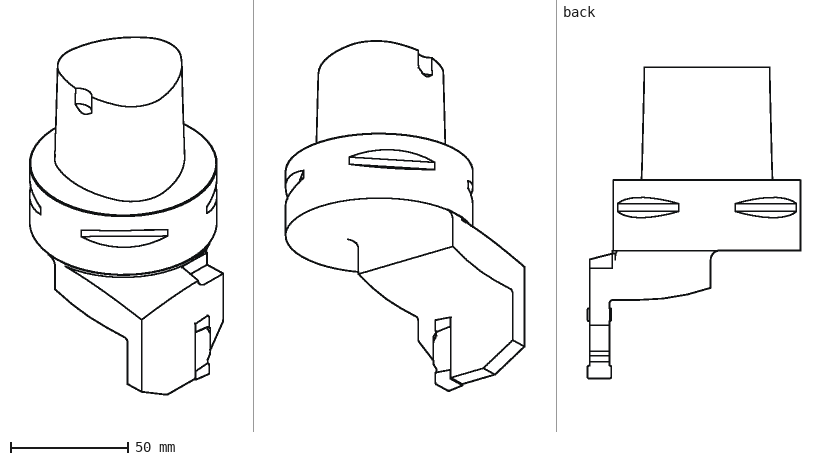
import cadquery as cq
import math


shank_height = 48.0
shank_corner_reach = 29.6
shank_side_reach = 25.7
shank_corner_radius = 17.3
shank_taper = math.degrees(math.atan(1 / 40))

notch_radius = 6.0
notch_axis_y = -27.8
notch_depth = 8.0
notch_tip_length = 5.0

flange_diameter = 80.0
flange_radius = flange_diameter / 2
flange_height = 30.3
flange_chamfer = 0.4

groove_count = 4
groove_z = -12.0
groove_floor_distance = 35.5
groove_floor_height = 3.3
groove_mouth_height = 8.6

arm_left = -1.6
arm_right = 50.1
arm_front = -40.1
arm_back = 9.8
arm_left_bottom = -46.3
arm_bottom = -51.5
belly_end_x = 29.2
neck_radius = 40.4
neck_bottom = -31.5
cone_slope = 0.255
root_radius = 4.0

step_front = -5.6
step_radius = 4.1
step_floor = -37.9

blade_left = 41.6
blade_bottom = -83.8
blade_root_radius = 1.6
blade_front_bevel_y = -24.6
blade_front_bevel_z = -74.7
blade_back_bevel_z = -62.2
blade_bevel_end_y = 2.0
blade_bevel_end_z = -73.2

insert_bottom = shank_height - 133
insert_top = -54.9
insert_mid_z = (insert_top + insert_bottom) / 2
insert_left = 40.8
insert_right = 51.0
insert_seat_y = -7.3
insert_rake_y = 0.3
insert_core_y = 1.9
head_height = 5.6
head_corner_radius = 0.8
head_clearance = 5.0
core_half_length = 5.2
core_shoulder_half_length = 7.8
core_end_half_length = 12.6
seat_shoulder_z = -60.5
seat_bevel_z = -62.2

overshoot = 6.6


def polar(radius, degrees):
    angle = math.radians(degrees)
    return (radius * math.cos(angle), radius * math.sin(angle))


def make_shank():
    """Three corner arcs and three flatter side arcs, all tangent, tapering upward."""
    corner_centre = shank_corner_reach - shank_corner_radius
    reach_gap = shank_side_reach - shank_corner_radius
    side_centre = (corner_centre**2 - reach_gap**2) / (2 * reach_gap - corner_centre)
    side_radius = side_centre + shank_side_reach
    joint_sine = corner_centre * math.sin(math.radians(60)) / (side_radius - shank_corner_radius)
    joint_across = side_radius * joint_sine
    joint_out = side_radius * math.sqrt(1 - joint_sine**2) - side_centre
    joint_reach = math.hypot(joint_across, joint_out)
    joint_angle = math.degrees(math.atan2(joint_across, joint_out))

    outline = cq.Workplane("XY").moveTo(*polar(joint_reach, -90 - joint_angle))
    for side_angle in (-90, 30, 150):
        outline = outline.threePointArc(
            polar(shank_side_reach, side_angle), polar(joint_reach, side_angle + joint_angle)
        ).threePointArc(
            polar(shank_corner_reach, side_angle + 60), polar(joint_reach, side_angle + 120 - joint_angle)
        )
    return outline.close().extrude(shank_height, taper=shank_taper)


def make_notch():
    """Drilled hole with a conical end, open to the shank's -Y side."""
    notch_end = shank_height - notch_depth
    return (
        cq.Workplane("XZ")
        .moveTo(0, shank_height + overshoot)
        .lineTo(notch_radius, shank_height + overshoot)
        .lineTo(notch_radius, notch_end)
        .lineTo(0, notch_end - notch_tip_length)
        .close()
        .revolve(360, (0, 0), (0, 1))
        .translate((0, notch_axis_y, 0))
    )


def make_groove(angle):
    """Straight groove with a flat floor and flared flanks, cut across the rim at one angle."""
    flank_slope = (groove_mouth_height - groove_floor_height) / 2 / (flange_radius - groove_floor_distance)
    outer = flange_radius + overshoot
    floor_half = groove_floor_height / 2
    outer_half = floor_half + flank_slope * (outer - groove_floor_distance)
    return (
        cq.Workplane("XZ")
        .polyline([
            (groove_floor_distance, groove_z - floor_half),
            (outer, groove_z - outer_half),
            (outer, groove_z + outer_half),
            (groove_floor_distance, groove_z + floor_half),
        ])
        .close()
        .extrude(flange_radius, both=True)
        .rotate((0, 0, 0), (0, 0, 1), angle)
    )


def make_flange():
    flange = cq.Workplane("XY").circle(flange_radius).extrude(-flange_height)
    flange = flange.faces(">Z").edges().chamfer(flange_chamfer)
    for index in range(groove_count):
        flange = flange.cut(make_groove(45 + index * 360 / groove_count))
    return flange


def make_arm_root():
    """Concave roundings that flare the arm's -X and +Y walls into the flange's underside."""
    plate_size = 4 * flange_radius
    half = plate_size / 2
    margin = 1.3
    root_bottom = -flange_height - 2 * root_radius
    plate = cq.Workplane("XY", origin=(0, 0, -flange_height)).rect(plate_size, plate_size).extrude(overshoot)
    block = cq.Workplane("XY").box(half - arm_left, half + arm_back, 2 * root_radius, centered=False)
    flared = plate.union(block.translate((arm_left, -half, root_bottom)))
    inner_edges = cq.selectors.BoxSelector(
        (arm_left - margin, margin - half, -flange_height - margin),
        (half - margin, arm_back + margin, -flange_height + margin),
    )
    flared = flared.edges(inner_edges).fillet(root_radius)
    neck = cq.Workplane("XY").circle(neck_radius).extrude(-flange_height - 2 * root_radius)
    trim = cq.Workplane("XY").box(plate_size, plate_size, 2 * root_radius)
    trim = trim.translate((0, arm_front + half, root_bottom + root_radius))
    return flared.intersect(neck).intersect(trim)


def make_arm_block():
    """L-shaped profile of arm and blade, extruded over the arm's full depth."""
    profile = (
        cq.Workplane("XZ", origin=(0, arm_back, 0))
        .moveTo(arm_left, -flange_height)
        .lineTo(arm_right, -flange_height)
        .lineTo(arm_right, blade_bottom)
        .lineTo(blade_left, blade_bottom)
        .lineTo(blade_left, arm_bottom - blade_root_radius)
        .radiusArc((blade_left - blade_root_radius, arm_bottom), -blade_root_radius)
        .lineTo(belly_end_x, arm_bottom)
        .tangentArcPoint((arm_left, arm_left_bottom), relative=False)
        .close()
    )
    return profile.extrude(arm_back - arm_front)


def make_arm_outline():
    """Outline of arm and blade across X, with the blade's two bevelled corners."""
    return (
        cq.Workplane("YZ", origin=(arm_left, 0, 0))
        .polyline([
            (arm_front, -flange_height),
            (arm_back, -flange_height),
            (arm_back, blade_back_bevel_z),
            (blade_bevel_end_y, blade_bevel_end_z),
            (insert_seat_y, blade_bottom),
            (blade_front_bevel_y, blade_bottom),
            (arm_front, blade_front_bevel_z),
        ])
        .close()
        .extrude(arm_right - arm_left)
    )


def make_cone_relief():
    """Space above the arm's conical top, around the neck that flares from the flange."""
    outer = 2 * flange_radius
    return (
        cq.Workplane("XZ")
        .polyline([
            (flange_radius, 0),
            (outer, 0),
            (outer, neck_bottom - cone_slope * (outer - neck_radius)),
            (neck_radius, neck_bottom),
            (flange_radius, -flange_height),
        ])
        .close()
        .revolve(360, (0, 0), (0, 1))
    )


def make_step():
    """Rounded-corner step that lowers the arm's top behind the cone."""
    step = cq.Workplane("XY").box(
        arm_right, arm_back - step_front + overshoot, -step_floor, centered=False
    ).translate((neck_radius, step_front, step_floor))
    return step.edges("|X and <Y and <Z").fillet(step_radius)


def make_insert_seat():
    """Seat cut through the blade, open downward, with clearance at the core's upper corner."""
    seat_top = insert_mid_z + core_end_half_length
    seat_end = insert_bottom - overshoot
    return (
        cq.Workplane("YZ", origin=(blade_left - overshoot, 0, 0))
        .polyline([
            (insert_seat_y, seat_top),
            (insert_rake_y, seat_top),
            (insert_rake_y, seat_shoulder_z),
            (insert_core_y, seat_bevel_z),
            (insert_core_y, seat_end),
            (insert_seat_y, seat_end),
        ])
        .close()
        .extrude(arm_right - blade_left + 2 * overshoot)
    )


def make_insert_head(centre_z):
    """Cutting head: rounded rectangle at the rake face, narrowing toward -Y for clearance."""
    return (
        cq.Workplane("XZ", origin=((insert_left + insert_right) / 2, insert_rake_y, centre_z))
        .sketch()
        .rect(insert_right - insert_left, head_height)
        .vertices()
        .fillet(head_corner_radius)
        .finalize()
        .extrude(insert_rake_y - insert_seat_y, taper=head_clearance)
    )


def make_insert():
    core = (
        cq.Workplane("YZ", origin=(blade_left, 0, insert_mid_z))
        .polyline([
            (insert_seat_y, core_end_half_length),
            (insert_rake_y, core_end_half_length),
            (insert_rake_y, core_shoulder_half_length),
            (insert_core_y, core_half_length),
            (insert_core_y, -core_half_length),
            (insert_rake_y, -core_shoulder_half_length),
            (insert_rake_y, -core_end_half_length),
            (insert_seat_y, -core_end_half_length),
        ])
        .close()
        .extrude(arm_right - blade_left)
    )
    upper_head = make_insert_head(insert_top - head_height / 2)
    lower_head = make_insert_head(insert_bottom + head_height / 2)
    return core.union(upper_head).union(lower_head)


def make_holder(insert):
    arm = make_arm_block().intersect(make_arm_outline())
    arm = arm.cut(make_cone_relief()).cut(make_step())
    arm = arm.cut(make_insert_seat()).cut(insert)
    shank = make_shank().cut(make_notch())
    return make_flange().union(shank).union(make_arm_root()).union(arm)


insert = make_insert()
holder = make_holder(insert)

result = cq.Compound.makeCompound([holder.solids().val(), insert.solids().val()])